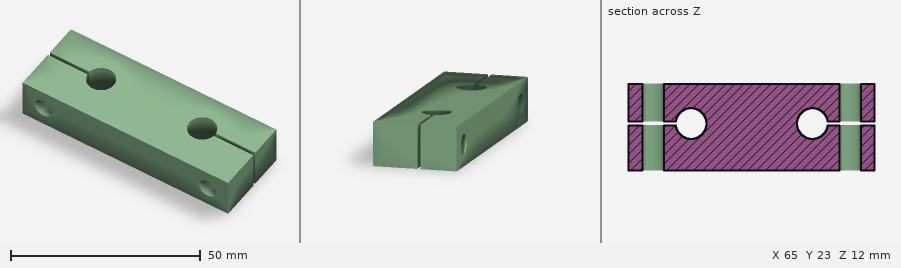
import cadquery as cq

length = 65.0
width = 23.0
height = 12.0

rod_diameter = 8.0
rod_spacing = 32.0
front_jaw_width = 12.0

slot_width = 1.0

screw_diameter = 5.5
screw_spacing = 52.0

slot_center_y = -width / 2 + front_jaw_width + slot_width / 2
slot_length = (length - rod_spacing) / 2


def make_block():
    """Plain rectangular block centred on the origin."""
    return cq.Workplane("XY").box(length, width, height)


def make_clamp_cut(side):
    """Rod bore and its slot; side is -1 for the -X end and +1 for the +X end."""
    rod_x = side * rod_spacing / 2
    bore = (
        cq.Workplane("XY")
        .center(rod_x, slot_center_y)
        .circle(rod_diameter / 2)
        .extrude(height / 2, both=True)
    )
    slot = (
        cq.Workplane("XY")
        .box(slot_length, slot_width, height)
        .translate((rod_x + side * slot_length / 2, slot_center_y, 0))
    )
    return bore.union(slot)


def make_screw_hole(side):
    """Through hole along Y at mid height, near one end of the block."""
    return (
        cq.Workplane("XZ")
        .center(side * screw_spacing / 2, 0)
        .circle(screw_diameter / 2)
        .extrude(width / 2, both=True)
    )


result = make_block()
for end in (-1, 1):
    result = result.cut(make_clamp_cut(end))
    result = result.cut(make_screw_hole(end))